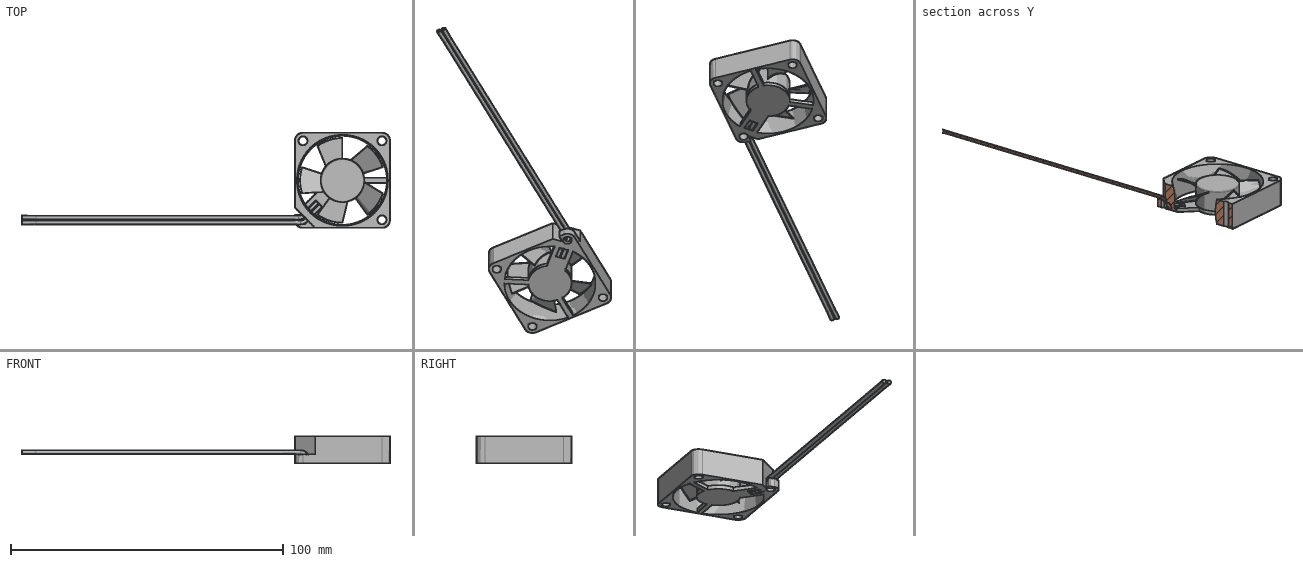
import cadquery as cq
import math

FRAME_SIZE = 35.0
FRAME_HEIGHT = 10.0
FRAME_CORNER_RADIUS = 3.0
HALF_FRAME = FRAME_SIZE / 2
BORE_MOUTH_RADIUS = 16.75
BORE_WAIST_RADIUS = 16.3
SCREW_HOLE_DIAMETER = 3.2
SCREW_HOLE_OFFSET = 14.5

CORNER_CUT_LEG = 7.5
LEDGE_HEIGHT = 3.3
LEDGE_WIDTH = 4.9
LEDGE_EDGE_FILLET = 0.4

BASE_THICKNESS = 1.5
STRUT_WIDTH = 2.0
STRUT_ANGLES = (0, 120)
CABLE_STRUT_WIDTH = 7.0
CABLE_STRUT_ANGLE = 225
CABLE_SLOT_WIDTH = 3.4
CABLE_SLOT_INNER_RADIUS = 12.2

HUB_RADIUS = 8.0
HUB_TOP = 9.4
HUB_EDGE_FILLET = 0.25
BLADE_COUNT = 5
BLADE_TIP_RADIUS = 15.6
BLADE_FIRST_ANGLE = 18
BLADE_LOW_Z = 3.6
BLADE_HIGH_Z = 8.9
BLADE_BULGE = 0.8
BLADE_THICKNESS = 0.4
BLADE_ROOT_DISTANCE = 4.0
BLADE_OUTER_DISTANCE = 16.5
BLADE_ROOT_WIDTH = 5.65
BLADE_WIDENING = 0.41

WIRE_DIAMETER = 1.5
WIRE_LEDGE_GAP = 0.1
WIRE_SPACING = 1.75
WIRE_END_X = HALF_FRAME - 135.2
WIRE_TIP_LENGTH = 5.0
WIRE_TIP_SPLAY = 0.1
WIRE_PAIR_Y = -14.6
WIRE_Z = LEDGE_HEIGHT + WIRE_LEDGE_GAP + WIRE_DIAMETER / 2
WIRE_BEND_RADIUS = 2.3
WIRE_DIVE_SLOPE = 1.3
WIRE_SLOT_Z = BASE_THICKNESS / 2


def rounded_path(start, corners, end, radius):
    """Extend a path through straight runs whose corners are rounded with one radius."""
    points = [cq.Vector(*corner) for corner in corners] + [cq.Vector(*end)]
    edges = []
    run_start = cq.Vector(*start)
    for corner, following in zip(points[:-1], points[1:]):
        incoming = (corner - run_start).normalized()
        outgoing = (following - corner).normalized()
        half_turn = incoming.getAngle(outgoing) / 2
        setback = radius * math.tan(half_turn)
        bend_start = corner - incoming * setback
        bend_end = corner + outgoing * setback
        toward_center = (outgoing - incoming).normalized()
        bend_middle = corner + toward_center * (radius / math.cos(half_turn) - radius)
        edges.append(cq.Edge.makeLine(run_start, bend_start))
        edges.append(cq.Edge.makeThreePointArc(bend_start, bend_middle, bend_end))
        run_start = bend_end
    edges.append(cq.Edge.makeLine(run_start, points[-1]))
    return edges


def make_wire(side):
    """One insulated wire: side is +1 for the wire nearer the frame's middle, -1 for the other.

    It runs straight along X, turns toward the fan axis while diving through the corner wall,
    and levels out in the slot of the cable strut.
    """
    offset = side * WIRE_SPACING / 2
    y = WIRE_PAIR_Y + offset
    diagonal_shift = offset * math.sqrt(2)
    dive_start = (y - diagonal_shift, y, WIRE_Z)
    dive_run = (WIRE_Z - WIRE_SLOT_Z) / WIRE_DIVE_SLOPE
    dive_end = (dive_start[0] + dive_run, y + dive_run, WIRE_SLOT_Z)
    slot_end = (
        (-CABLE_SLOT_INNER_RADIUS - offset) / math.sqrt(2),
        (-CABLE_SLOT_INNER_RADIUS + offset) / math.sqrt(2),
        WIRE_SLOT_Z,
    )
    tip = cq.Vector(WIRE_END_X, y + side * WIRE_TIP_SPLAY, WIRE_Z)
    straight_start = cq.Vector(WIRE_END_X + WIRE_TIP_LENGTH, y, WIRE_Z)
    along_x = cq.Vector(1, 0, 0)
    tip_edge = cq.Edge.makeSpline([tip, straight_start], tangents=[along_x, along_x])
    run_edges = rounded_path(straight_start.toTuple(), [dive_start, dive_end], slot_end, WIRE_BEND_RADIUS)
    path = cq.Workplane(cq.Wire.assembleEdges([tip_edge, *run_edges]))
    tip_plane = cq.Plane(origin=tip, xDir=(0, 0, 1), normal=along_x)
    return cq.Workplane(tip_plane).circle(WIRE_DIAMETER / 2).sweep(path)


def make_bore():
    """Air passage that is narrowest at half height and flares toward both mouths."""
    return (
        cq.Workplane("XZ")
        .lineTo(BORE_MOUTH_RADIUS, 0)
        .threePointArc((BORE_WAIST_RADIUS, FRAME_HEIGHT / 2), (BORE_MOUTH_RADIUS, FRAME_HEIGHT))
        .lineTo(0, FRAME_HEIGHT)
        .close()
        .revolve(360, (0, 0, 0), (0, 1, 0))
    )


def radial_bar(inner, outer, width, angle):
    """Bar on the floor of the frame, pointing outward from the fan axis."""
    return (
        cq.Workplane("XY")
        .center((inner + outer) / 2, 0)
        .rect(outer - inner, width)
        .extrude(BASE_THICKNESS)
        .rotate((0, 0, 0), (0, 0, 1), angle)
    )


def make_corner_cut():
    """Triangular corner cut, full height except over the ledge that carries the wires."""
    cut = (
        cq.Workplane("XY")
        .moveTo(-HALF_FRAME, -HALF_FRAME)
        .lineTo(-HALF_FRAME + CORNER_CUT_LEG, -HALF_FRAME)
        .lineTo(-HALF_FRAME, -HALF_FRAME + CORNER_CUT_LEG)
        .close()
        .extrude(FRAME_HEIGHT)
    )
    ledge = (
        cq.Workplane("XY", origin=(-HALF_FRAME, -HALF_FRAME, 0))
        .box(CORNER_CUT_LEG, LEDGE_WIDTH, LEDGE_HEIGHT, centered=False)
        .edges("|Z and <X and >Y")
        .fillet(LEDGE_EDGE_FILLET)
    )
    return cut.cut(ledge)


def make_housing():
    frame = (
        cq.Workplane("XY")
        .rect(FRAME_SIZE, FRAME_SIZE)
        .extrude(FRAME_HEIGHT)
        .edges("|Z")
        .fillet(FRAME_CORNER_RADIUS)
        .cut(make_bore())
    )
    frame = frame.cut(make_corner_cut())
    for x_side in (-1, 1):
        for y_side in (-1, 1):
            in_cable_corner = x_side < 0 and y_side < 0
            frame = frame.cut(
                cq.Workplane("XY")
                .center(x_side * SCREW_HOLE_OFFSET, y_side * SCREW_HOLE_OFFSET)
                .circle(SCREW_HOLE_DIAMETER / 2)
                .extrude(LEDGE_HEIGHT if in_cable_corner else FRAME_HEIGHT)
            )

    frame = frame.union(cq.Workplane("XY").circle(HUB_RADIUS).extrude(BASE_THICKNESS))
    for angle in STRUT_ANGLES:
        frame = frame.union(radial_bar(0, BORE_MOUTH_RADIUS, STRUT_WIDTH, angle))
    frame = frame.union(radial_bar(0, BORE_MOUTH_RADIUS, CABLE_STRUT_WIDTH, CABLE_STRUT_ANGLE))
    return frame.cut(
        radial_bar(CABLE_SLOT_INNER_RADIUS, BORE_WAIST_RADIUS, CABLE_SLOT_WIDTH, CABLE_STRUT_ANGLE)
    )


def make_blade():
    """Blade whose low edge lies along +X; it climbs counterclockwise and widens outward."""

    def section(distance):
        width = BLADE_ROOT_WIDTH + BLADE_WIDENING * (distance - BLADE_ROOT_DISTANCE)
        middle_z = (BLADE_LOW_Z + BLADE_HIGH_Z) / 2 + BLADE_BULGE
        return (
            cq.Workplane("YZ", origin=(distance, 0, 0))
            .moveTo(0, BLADE_LOW_Z)
            .threePointArc((width / 2, middle_z), (width, BLADE_HIGH_Z))
            .lineTo(width, BLADE_HIGH_Z - BLADE_THICKNESS)
            .threePointArc((width / 2, middle_z - BLADE_THICKNESS), (0, BLADE_LOW_Z - BLADE_THICKNESS))
            .close()
            .wire()
            .val()
        )

    sections = [section(BLADE_ROOT_DISTANCE), section(BLADE_OUTER_DISTANCE)]
    blade = cq.Workplane(cq.Solid.makeLoft(sections, True))
    return blade.intersect(cq.Workplane("XY").circle(BLADE_TIP_RADIUS).extrude(FRAME_HEIGHT))


def make_rotor():
    rotor = (
        cq.Workplane("XY", origin=(0, 0, BASE_THICKNESS))
        .circle(HUB_RADIUS)
        .extrude(HUB_TOP - BASE_THICKNESS)
        .faces(">Z")
        .edges()
        .fillet(HUB_EDGE_FILLET)
    )
    blade = make_blade()
    for index in range(BLADE_COUNT):
        angle = BLADE_FIRST_ANGLE + index * 360 / BLADE_COUNT
        rotor = rotor.union(blade.rotate((0, 0, 0), (0, 0, 1), angle))
    return rotor


wires = [make_wire(side) for side in (1, -1)]
housing = make_housing()
for wire in wires:
    housing = housing.cut(wire)
rotor = make_rotor()

result = cq.Compound.makeCompound([housing.val(), rotor.val(), *[wire.val() for wire in wires]])